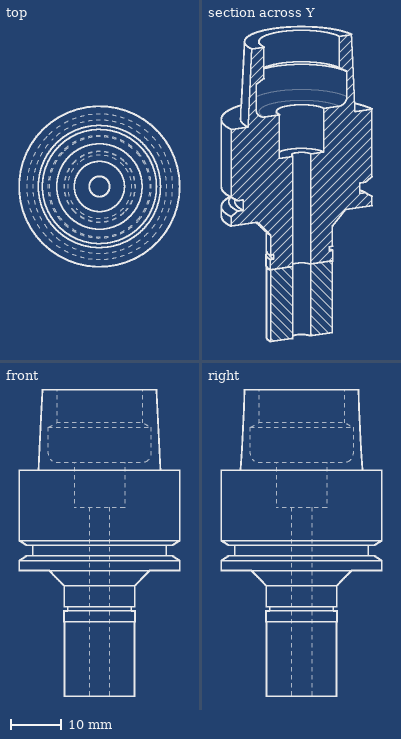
import cadquery as cq
import math


taper_length = 16.0
taper_gauge_diameter = 24.007
taper_gauge_height = 3.2
taper_rate = 1 / 10
taper_root_radius = (taper_gauge_diameter + taper_rate * taper_gauge_height) / 2
taper_tip_radius = taper_root_radius - taper_rate * taper_length / 2

flange_radius = 16.0
flange_bottom = -20.0
groove_top = -14.0
groove_bottom = -18.0
groove_lip_radius = 14.5
groove_floor_radius = 13.3
groove_flank_angle = 33
groove_chamfer_height = (flange_radius - groove_lip_radius) * math.tan(math.radians(groove_flank_angle))

neck_radius = 7.05
neck_top = -23.0
shoulder_radius = 10.0
neck_groove_radius = 6.35
neck_groove_top = -27.2
neck_groove_bottom = -28.0
collar_radius = 7.1
neck_bottom = -30.2

mouth_radius = 8.5
mouth_depth = 6.5
undercut_radius = 10.25
undercut_lead_angle = 30
undercut_lead_height = (undercut_radius - mouth_radius) * math.tan(math.radians(undercut_lead_angle))
undercut_depth = 12.65
undercut_fillet = undercut_radius - mouth_radius
bore_depth = undercut_depth + undercut_fillet

counterbore_radius = 5.0
counterbore_depth = 9.0
coolant_radius = 2.0

shank_radius = 7.0
overall_length = 61.0
shank_length = overall_length - taper_length + neck_bottom


def make_holder():
    """Taper, flange and neck, revolved from one outline of (radius, z) points."""
    bore_floor = taper_length - bore_depth
    undercut_top = taper_length - mouth_depth
    undercut_bottom = taper_length - undercut_depth
    counterbore_floor = bore_floor - counterbore_depth
    outside = [
        (taper_tip_radius, taper_length),
        (taper_root_radius, 0),
        (flange_radius, 0),
        (flange_radius, groove_top),
        (groove_lip_radius, groove_top - groove_chamfer_height),
        (groove_floor_radius, groove_top - groove_chamfer_height),
        (groove_floor_radius, groove_bottom + groove_chamfer_height),
        (groove_lip_radius, groove_bottom + groove_chamfer_height),
        (flange_radius, groove_bottom),
        (flange_radius, flange_bottom),
        (shoulder_radius, flange_bottom),
        (neck_radius, neck_top),
        (neck_radius, neck_groove_top),
        (neck_groove_radius, neck_groove_top),
        (neck_groove_radius, neck_groove_bottom),
        (collar_radius, neck_groove_bottom),
        (collar_radius, neck_bottom),
    ]
    passage = [
        (coolant_radius, neck_bottom),
        (coolant_radius, counterbore_floor),
        (counterbore_radius, counterbore_floor),
        (counterbore_radius, bore_floor),
        (mouth_radius, bore_floor),
    ]
    fillet_middle = (
        mouth_radius + undercut_fillet * math.sin(math.pi / 4),
        undercut_bottom - undercut_fillet * math.sin(math.pi / 4),
    )
    return (
        cq.Workplane("XZ")
        .polyline(outside + passage)
        .threePointArc(fillet_middle, (undercut_radius, undercut_bottom))
        .lineTo(undercut_radius, undercut_top - undercut_lead_height)
        .lineTo(mouth_radius, undercut_top)
        .lineTo(mouth_radius, taper_length)
        .close()
        .revolve(360, (0, 0, 0), (0, 1, 0))
    )


def make_shank():
    """Straight tube that continues the coolant passage below the collar."""
    return (
        cq.Workplane("XY", origin=(0, 0, neck_bottom))
        .circle(shank_radius)
        .circle(coolant_radius)
        .extrude(-shank_length)
    )


holder = make_holder()
shank = make_shank()

result = cq.Compound.makeCompound([holder.val(), shank.val()])